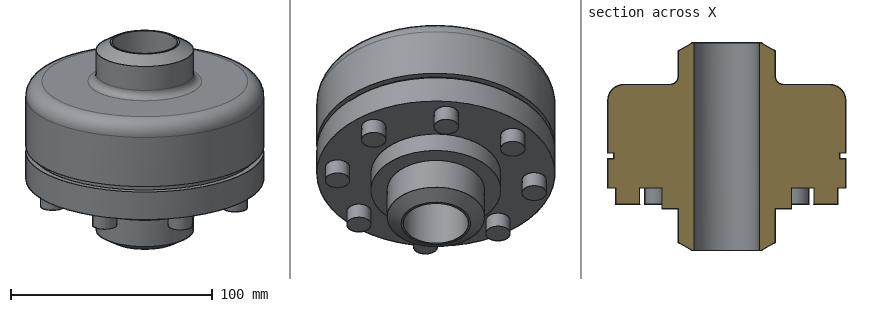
import cadquery as cq
import math

body_diameter = 118.0
groove_diameter = 112.0
collar_diameter = 64.3
neck_diameter = 48.3
bore_diameter = 32.3
bevel_end_diameter = 34.3

collar_bottom = 20.8
flange_bottom = 31.0
groove_bottom = 45.5
groove_top = 48.4
body_top = 82.4
total_height = 103.0

bevel_angle = 30.0
body_round = 8.0
neck_fillet = 4.0

bolt_count = 8
bolt_diameter = 12.0
bolt_circle_diameter = 97.9
bolt_height = 8.1

body_radius = body_diameter / 2
groove_radius = groove_diameter / 2
collar_radius = collar_diameter / 2
neck_radius = neck_diameter / 2
bore_radius = bore_diameter / 2
bevel_end_radius = bevel_end_diameter / 2
bevel_height = (neck_radius - bevel_end_radius) * math.tan(math.radians(bevel_angle))


def make_housing():
    """Revolve the bored housing with its groove, collar and weld-end necks."""
    profile = (
        cq.Workplane("XZ")
        .moveTo(bore_radius, 0)
        .lineTo(bevel_end_radius, 0)
        .lineTo(neck_radius, bevel_height)
        .lineTo(neck_radius, collar_bottom)
        .lineTo(collar_radius, collar_bottom)
        .lineTo(collar_radius, flange_bottom)
        .lineTo(body_radius, flange_bottom)
        .lineTo(body_radius, groove_bottom)
        .lineTo(groove_radius, groove_bottom)
        .lineTo(groove_radius, groove_top)
        .lineTo(body_radius, groove_top)
        .lineTo(body_radius, body_top - body_round)
        .radiusArc((body_radius - body_round, body_top), -body_round)
        .lineTo(neck_radius + neck_fillet, body_top)
        .radiusArc((neck_radius, body_top + neck_fillet), neck_fillet)
        .lineTo(neck_radius, total_height - bevel_height)
        .lineTo(bevel_end_radius, total_height)
        .lineTo(bore_radius, total_height)
        .close()
    )
    return profile.revolve(360, (0, 0, 0), (0, 1, 0))


def make_bolt_heads():
    """Ring of round bolt heads hanging below the flange, the first on +X."""
    return (
        cq.Workplane("XY")
        .workplane(offset=flange_bottom - bolt_height)
        .polarArray(bolt_circle_diameter / 2, 0, 360, bolt_count)
        .circle(bolt_diameter / 2)
        .extrude(bolt_height)
    )


result = make_housing().union(make_bolt_heads())